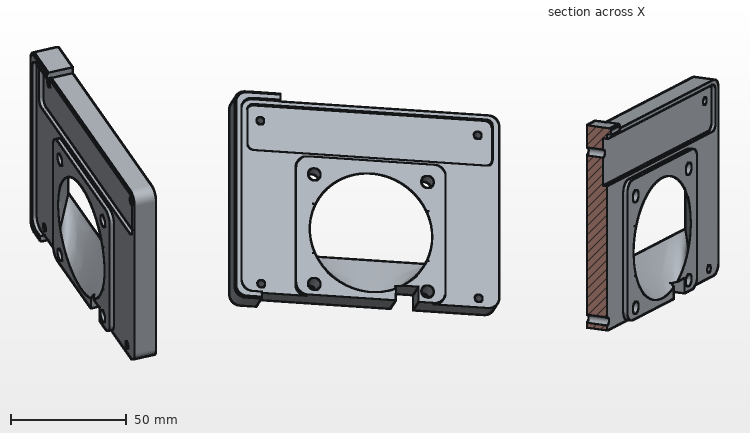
import cadquery as cq

total_width = 117.3
total_height = 94.1
total_depth = 12.0
relief = 2.0
corner_radius = 5.0

lip_width = 3.0
lip_chamfer = 0.7
upper_tab_length = 20.2
lower_tab_length = 12.0

plate_margin = 3.1
plate_width = total_width - lip_width
plate_bottom = plate_margin
plate_top = total_height - plate_margin
center_x = lip_width + plate_width / 2

pocket_width = 108.4
pocket_height = 21.0
pocket_bottom = 68.0
pocket_radius = 3.0
pocket_depth = 2.0

screw_diameter = 3.4
screw_spacing_x = 96.0
screw_spacing_z = 75.0
screw_center_z = 44.75

fan_center_z = 33.1
boss_width = 66.0
fan_hole_spacing = 50.0
fan_hole_diameter = 5.0
fan_hole_mouth_diameter = 5.5
fan_hole_depth = 10.0

fan_opening_diameter = 54.0
window_width = 90.0
window_height = 40.0
window_center_z = screw_center_z

notch_left = 71.2
notch_width = 10.0
notch_top = 10.0


def box(left, right, bottom, top, front, back):
    """Block between the given X, Z and Y limits."""
    return cq.Workplane("XY").box(right - left, back - front, top - bottom, centered=False).translate(
        (left, front, bottom)
    )


def rounded_block(left, right, bottom, top, front, back, radius):
    """Block whose four edges along Y are rounded."""
    return box(left, right, bottom, top, front, back).edges("|Y").fillet(radius)


def facing_back(x, z, y):
    """Workplane at the given point whose normal points to +Y."""
    return cq.Workplane(cq.Plane(origin=(x, y, z), xDir=(1, 0, 0), normal=(0, 1, 0)))


def make_plate():
    """Full-depth slab with rounded right corners; the left end lies under the lip."""
    slab = box(lip_width, total_width, plate_bottom, plate_top, relief, total_depth)
    return slab.edges("|Y and >X").fillet(corner_radius)


def make_lip():
    """Raised C-shaped lip: a chamfered block, hollowed in front and cut off right of the tabs."""
    outline = rounded_block(0, total_width, 0, total_height, 0, total_depth, corner_radius)
    outline = outline.faces("<Y").chamfer(lip_chamfer)
    hollow = rounded_block(
        lip_width, 2 * total_width, lip_width, total_height - lip_width, 0, relief, corner_radius
    )
    middle = total_height / 2
    upper = box(0, upper_tab_length, middle, total_height, 0, total_depth)
    lower = box(0, lower_tab_length, 0, middle, 0, total_depth)
    return outline.intersect(upper.union(lower)).cut(hollow)


def make_boss():
    """Raised fan pad, level with the lower edge of the plate."""
    half = boss_width / 2
    return rounded_block(
        center_x - half, center_x + half, plate_bottom, fan_center_z + half, 0, total_depth, corner_radius
    )


def make_pocket():
    """Shallow rounded recess in the plate face."""
    half = pocket_width / 2
    return rounded_block(
        center_x - half, center_x + half, pocket_bottom, pocket_bottom + pocket_height,
        relief, relief + pocket_depth, pocket_radius,
    )


def make_duct():
    """Loft from the round fan opening to the rectangular back window."""
    window_rise = window_center_z - fan_center_z
    duct = facing_back(center_x, fan_center_z, 0).circle(fan_opening_diameter / 2)
    duct = duct.workplane(offset=total_depth).center(0, -window_rise)
    return duct.rect(window_width, window_height).loft(combine=True)


def make_screw_holes():
    """Four through holes near the plate corners."""
    pattern = facing_back(center_x, screw_center_z, 0).rect(
        screw_spacing_x, screw_spacing_z, forConstruction=True
    )
    return pattern.vertices().circle(screw_diameter / 2).extrude(total_depth)


def make_fan_holes():
    """Blind holes with a tapered mouth as deep as the boss is high."""
    mouth_radius = fan_hole_mouth_diameter / 2
    radius = fan_hole_diameter / 2
    profile = cq.Workplane("XY").polyline(
        [(0, 0), (mouth_radius, 0), (radius, relief), (radius, fan_hole_depth), (0, fan_hole_depth)]
    )
    hole = profile.close().revolve(360, (0, 0), (0, 1))
    holes = cq.Workplane("XY")
    half = fan_hole_spacing / 2
    for dx in (-half, half):
        for dz in (-half, half):
            holes = holes.add(hole.translate((center_x + dx, 0, fan_center_z + dz)))
    return holes.combine()


def make_notch():
    """Cable notch through the whole depth."""
    return box(notch_left, notch_left + notch_width, 0, notch_top, 0, total_depth)


body = make_plate().union(make_lip()).union(make_boss())
for cutter in (make_pocket(), make_duct(), make_screw_holes(), make_fan_holes(), make_notch()):
    body = body.cut(cutter)
result = body